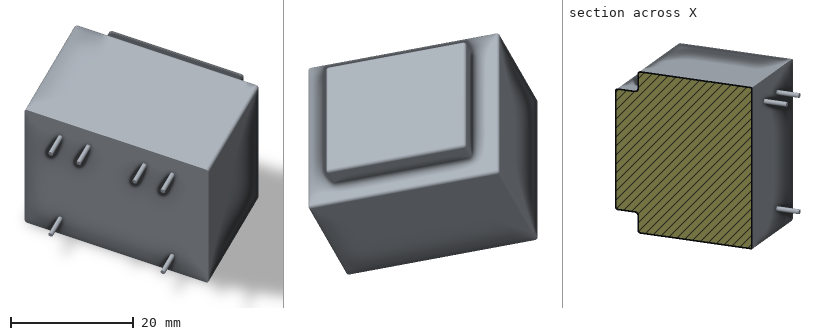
import cadquery as cq

body_width = 32.8
body_height = 27.78
body_depth = 20.4
edge_radius = 0.5

pad_width = 24.0
pad_height = 20.8
pad_depth = 4.0

pin_diameter = 0.8
pin_length = 4.0
pin_embed = 1.0
grid_pitch = 5.0
pin_row = 2 * grid_pitch
upper_pin_columns = (-2, -1, 1, 2)
lower_pin_columns = (-2, 2)


def rounded_block(width, depth, height, front_y):
    """Block centred on X and Z, with every edge rounded except those of its front face."""
    plain = cq.Workplane("XY").box(width, depth, height).translate((0, front_y + depth / 2, 0))
    return plain.edges("|Y or >Y").fillet(edge_radius)


def make_housing():
    """Body with the raised pad, blended together by a fillet at the pad's foot."""
    body = rounded_block(body_width, body_depth, body_height, 0)
    pad = rounded_block(pad_width, pad_depth, pad_height, body_depth)
    housing = body.union(pad)
    reach = edge_radius / 2
    foot_region = cq.selectors.BoxSelector(
        (-pad_width / 2 - reach, body_depth - reach, -pad_height / 2 - reach),
        (pad_width / 2 + reach, body_depth + reach, pad_height / 2 + reach),
    )
    return housing.edges(foot_region).fillet(edge_radius)


def make_pin(x, z):
    """Round pin standing out of the front face and rooted inside the body."""
    pin = cq.Workplane("XZ").circle(pin_diameter / 2).extrude(pin_length + pin_embed)
    return pin.translate((x, pin_embed, z))


result = make_housing()
for columns, z in ((upper_pin_columns, pin_row), (lower_pin_columns, -pin_row)):
    for column in columns:
        result = result.union(make_pin(column * grid_pitch, z))